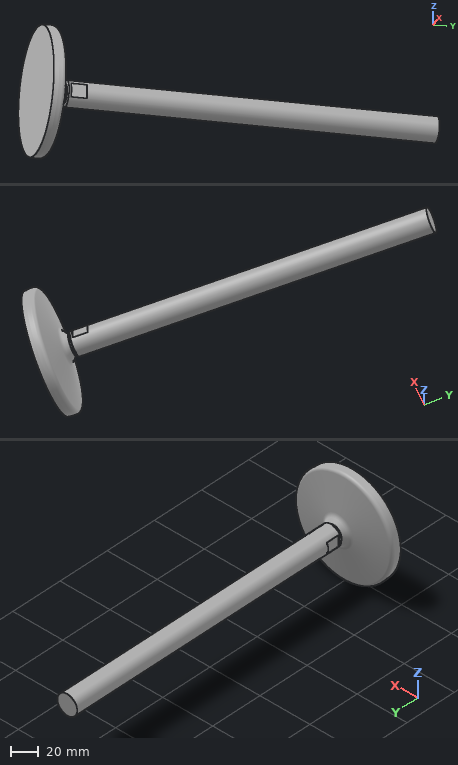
import cadquery as cq
import math


total_length = 302.0

foot_radius = 98.0 / 2
floor_radius = 48.6
draft_height = 3.8
shoulder_height = 9.4
rim_round_radius = 3.3
cone_angle = math.radians(9.6)
collar_radius = 8.5
collar_top = 20.2
collar_angle = math.radians(45.0)
flare_radius = 6.0

spindle_radius = 20.0 / 2
spindle_bottom = 22.2
neck_radius = 7.0
neck_top = 21.6
ball_radius = 8.5
ball_centre = 12.0
ball_bottom = ball_centre - ball_radius
neck_on_ball = ball_centre + math.sqrt(ball_radius**2 - neck_radius**2)

width_across_flats = 17.0
flat_bottom = 24.0
flat_length = 12.0


def revolve_about_y(profile):
    return profile.close().revolve(360, (0, 0, 0), (0, 1, 0))


def corner_arc(corner, angle_in, angle_out, radius):
    """Start, middle and end of the arc that rounds the corner between two directions of travel."""
    half_turn = (angle_out - angle_in) / 2
    tangent_length = radius * abs(math.tan(half_turn))
    start = (
        corner[0] - tangent_length * math.cos(angle_in),
        corner[1] - tangent_length * math.sin(angle_in),
    )
    end = (
        corner[0] + tangent_length * math.cos(angle_out),
        corner[1] + tangent_length * math.sin(angle_out),
    )
    sagitta = radius * (1 - math.cos(half_turn))
    bulge_angle = (angle_in + angle_out) / 2 - math.copysign(math.pi / 2, half_turn)
    middle = (
        (start[0] + end[0]) / 2 + sagitta * math.cos(bulge_angle),
        (start[1] + end[1]) / 2 + sagitta * math.sin(bulge_angle),
    )
    return start, middle, end


def make_flat_cutter(side):
    """Block that leaves a wrench flat on the -X or +X side of the spindle."""
    depth = spindle_radius
    cutter = cq.Workplane("XY").box(depth, flat_length, 2 * spindle_radius)
    return cutter.translate((side * (width_across_flats + depth) / 2, flat_bottom + flat_length / 2, 0))


def make_spindle():
    profile = (
        cq.Workplane("XY")
        .moveTo(0, ball_bottom)
        .threePointArc((ball_radius, ball_centre), (neck_radius, neck_on_ball))
        .lineTo(neck_radius, neck_top)
        .lineTo(spindle_radius, spindle_bottom)
        .lineTo(spindle_radius, total_length)
        .lineTo(0, total_length)
    )
    spindle = revolve_about_y(profile)
    for side in (-1, 1):
        spindle = spindle.cut(make_flat_cutter(side))
    return spindle


def make_foot():
    band_direction = math.pi / 2
    cone_direction = math.pi - cone_angle
    collar_direction = math.pi - collar_angle

    rim_corner = (foot_radius, shoulder_height)
    rim_start, rim_middle, rim_end = corner_arc(rim_corner, band_direction, cone_direction, rim_round_radius)

    cone_slope = math.tan(cone_angle)
    collar_slope = math.tan(collar_angle)
    rise = collar_top - shoulder_height
    flare_corner_radius = (rise + collar_slope * collar_radius - cone_slope * foot_radius) / (
        collar_slope - cone_slope
    )
    flare_corner = (
        flare_corner_radius,
        shoulder_height + cone_slope * (foot_radius - flare_corner_radius),
    )
    flare_start, flare_middle, flare_end = corner_arc(
        flare_corner, cone_direction, collar_direction, flare_radius
    )

    profile = (
        cq.Workplane("XY")
        .lineTo(floor_radius, 0)
        .lineTo(foot_radius, draft_height)
        .lineTo(*rim_start)
        .threePointArc(rim_middle, rim_end)
        .lineTo(*flare_start)
        .threePointArc(flare_middle, flare_end)
        .lineTo(collar_radius, collar_top)
        .lineTo(neck_radius, collar_top)
        .lineTo(neck_radius, neck_on_ball)
        .threePointArc((ball_radius, ball_centre), (0, ball_bottom))
    )
    return revolve_about_y(profile)


spindle = make_spindle()
foot = make_foot()

result = cq.Compound.makeCompound([spindle.val(), foot.val()])